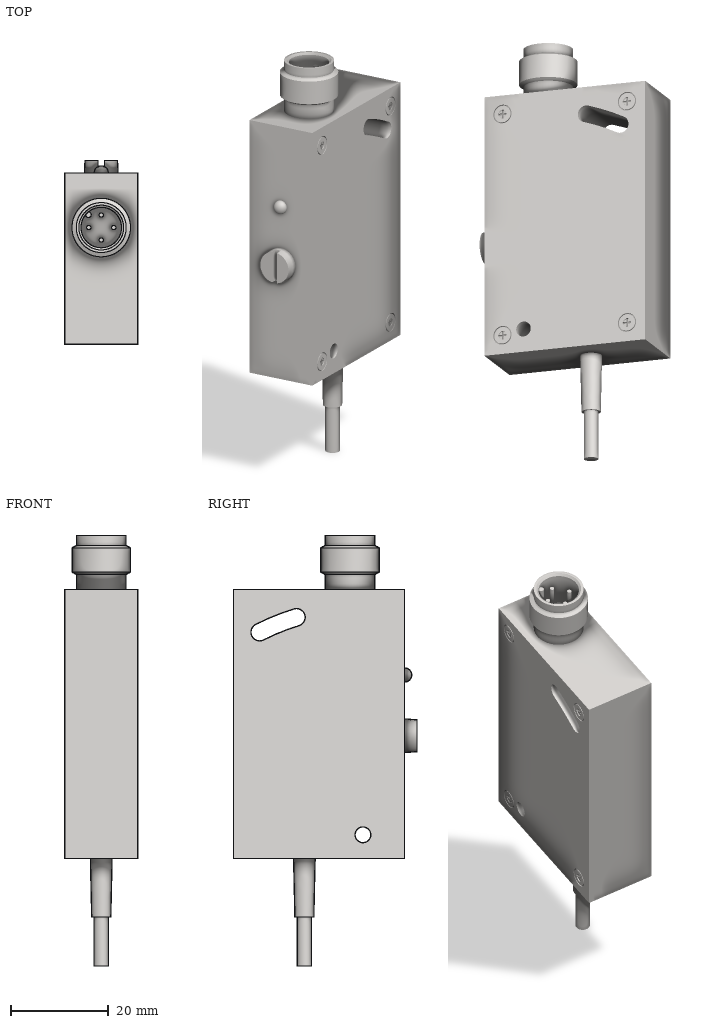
import cadquery as cq
import math

WIDTH = 15.0
DEPTH = 35.0
HEIGHT = 55.0
LEFT_FACE = -WIDTH / 2

PLUG_Y = 23.85
PLUG_HEIGHT = 11.0
SHELL_DIAMETER = 10.2
BORE_DIAMETER = 8.3
BORE_DEPTH = 8.0
BORE_CHAMFER = 0.4
NUT_DIAMETER = 12.0
NUT_BOTTOM = 3.0
NUT_HEIGHT = 6.0
NUT_CONE_HEIGHT = 0.5
PIN_DIAMETER = 0.9
PIN_CIRCLE_RADIUS = 2.55
PIN_COUNT = 4
PIN_TOP_BELOW_RIM = 2.0
KEY_DIAMETER = 1.1
KEY_RADIUS = 3.7
KEY_ANGLE = 135
KEY_TOP_BELOW_RIM = 1.0

CABLE_Y = 14.5
CABLE_DIAMETER = 3.0
CABLE_REACH = 22.0
SLEEVE_LENGTH = 12.0
SLEEVE_ROOT_DIAMETER = 4.5
SLEEVE_TIP_DIAMETER = 4.0

KNOB_Z = 25.1
KNOB_ROOT_DIAMETER = 6.95
KNOB_TIP_DIAMETER = 6.7
KNOB_REACH = 2.55
KNOB_SLOT_WIDTH = 1.2
KNOB_SLOT_DEPTH = 1.4
LAMP_Z = 37.5
LAMP_DIAMETER = 2.9

PIVOT_Y = 26.5
PIVOT_Z = 4.8
PIVOT_DIAMETER = 3.2
ARC_RADIUS = 46.5
ARC_SLOT_WIDTH = 3.5
ARC_START = 17.0
ARC_END = 27.0

SCREW_INSET = 4.0
SCREW_HEAD_DIAMETER = 3.5
SCREW_SEAT_DIAMETER = 4.0
SCREW_GAP_DEPTH = 0.35
CROSS_LENGTH = 1.85
CROSS_WIDTH = 0.35
CROSS_DEPTH = 0.5
DIMPLE_DIAMETER = 1.7
DIMPLE_DEPTH = 0.2


def upright(diameter, x, y, bottom, top):
    """Cylinder along Z."""
    return cq.Workplane("XY", origin=(x, y, bottom)).circle(diameter / 2).extrude(top - bottom)


def tapered(bottom_diameter, top_diameter, y, bottom, top):
    """Cone frustum along Z, centred on X."""
    base = cq.Workplane("XY", origin=(0, y, bottom)).circle(bottom_diameter / 2)
    return base.workplane(offset=top - bottom).circle(top_diameter / 2).loft()


def plug():
    """Plug: shell, coupling nut, bore, contact pins and key rib."""
    rim = HEIGHT + PLUG_HEIGHT
    floor = rim - BORE_DEPTH
    nut_bottom = HEIGHT + NUT_BOTTOM
    nut_top = nut_bottom + NUT_HEIGHT
    lower_cone = tapered(SHELL_DIAMETER, NUT_DIAMETER, PLUG_Y, nut_bottom, nut_bottom + NUT_CONE_HEIGHT)
    barrel = upright(NUT_DIAMETER, 0, PLUG_Y, nut_bottom + NUT_CONE_HEIGHT, nut_top - NUT_CONE_HEIGHT)
    upper_cone = tapered(NUT_DIAMETER, SHELL_DIAMETER, PLUG_Y, nut_top - NUT_CONE_HEIGHT, nut_top)
    shell = upright(SHELL_DIAMETER, 0, PLUG_Y, HEIGHT, rim)
    body = shell.union(lower_cone).union(barrel).union(upper_cone)
    mouth_diameter = BORE_DIAMETER + 2 * BORE_CHAMFER
    body = body.cut(upright(BORE_DIAMETER, 0, PLUG_Y, floor, rim))
    body = body.cut(tapered(BORE_DIAMETER, mouth_diameter, PLUG_Y, rim - BORE_CHAMFER, rim))
    for index in range(PIN_COUNT):
        angle = 2 * math.pi * index / PIN_COUNT
        x = PIN_CIRCLE_RADIUS * math.cos(angle)
        y = PLUG_Y + PIN_CIRCLE_RADIUS * math.sin(angle)
        body = body.union(upright(PIN_DIAMETER, x, y, floor, rim - PIN_TOP_BELOW_RIM))
    key_x = KEY_RADIUS * math.cos(math.radians(KEY_ANGLE))
    key_y = PLUG_Y + KEY_RADIUS * math.sin(math.radians(KEY_ANGLE))
    return body.union(upright(KEY_DIAMETER, key_x, key_y, floor, rim - KEY_TOP_BELOW_RIM))


def cable():
    """Cable end hanging from a tapered sleeve."""
    sleeve = tapered(SLEEVE_TIP_DIAMETER, SLEEVE_ROOT_DIAMETER, CABLE_Y, -SLEEVE_LENGTH, 0)
    return sleeve.union(upright(CABLE_DIAMETER, 0, CABLE_Y, -CABLE_REACH, 0))


def knob():
    """Slightly tapered adjuster knob with an upright screwdriver slot."""
    root = cq.Workplane("XZ", origin=(0, DEPTH, KNOB_Z)).circle(KNOB_ROOT_DIAMETER / 2)
    body = root.workplane(offset=-KNOB_REACH).circle(KNOB_TIP_DIAMETER / 2).loft()
    slot = cq.Workplane("XY").box(KNOB_SLOT_WIDTH, KNOB_SLOT_DEPTH, KNOB_ROOT_DIAMETER)
    return body.cut(slot.translate((0, DEPTH + KNOB_REACH - KNOB_SLOT_DEPTH / 2, KNOB_Z)))


def lamp():
    """Domed lamp, half sunk in the back face."""
    return cq.Workplane("XY").sphere(LAMP_DIAMETER / 2).translate((0, DEPTH, LAMP_Z))


def on_arc(radius, angle):
    """Point (Y, Z) at a radius from the pivot hole, angle measured from +Z towards -Y."""
    turn = math.radians(angle)
    return (PIVOT_Y - radius * math.sin(turn), PIVOT_Z + radius * math.cos(turn))


def arc_slot():
    """Through slot along an arc about the pivot hole, with round ends."""
    inner = ARC_RADIUS - ARC_SLOT_WIDTH / 2
    outer = ARC_RADIUS + ARC_SLOT_WIDTH / 2
    middle = (ARC_START + ARC_END) / 2
    end_swing = math.degrees(ARC_SLOT_WIDTH / 2 / ARC_RADIUS)
    return (
        cq.Workplane("YZ", origin=(LEFT_FACE, 0, 0))
        .moveTo(*on_arc(outer, ARC_START))
        .threePointArc(on_arc(outer, middle), on_arc(outer, ARC_END))
        .threePointArc(on_arc(ARC_RADIUS, ARC_END + end_swing), on_arc(inner, ARC_END))
        .threePointArc(on_arc(inner, middle), on_arc(inner, ARC_START))
        .threePointArc(on_arc(ARC_RADIUS, ARC_START - end_swing), on_arc(outer, ARC_START))
        .close()
        .extrude(WIDTH)
    )


def pivot_hole():
    """Through hole along X."""
    plane = cq.Workplane("YZ", origin=(LEFT_FACE, PIVOT_Y, PIVOT_Z))
    return plane.circle(PIVOT_DIAMETER / 2).extrude(WIDTH)


def screw_recess(y, z):
    """Ring gap around a flush screw head, plus its dimple and cross recess."""
    face = cq.Workplane("YZ", origin=(LEFT_FACE, y, z))
    gap = face.circle(SCREW_SEAT_DIAMETER / 2).circle(SCREW_HEAD_DIAMETER / 2).extrude(SCREW_GAP_DEPTH)
    bar = face.rect(CROSS_LENGTH, CROSS_WIDTH).extrude(CROSS_DEPTH)
    crossbar = face.rect(CROSS_WIDTH, CROSS_LENGTH).extrude(CROSS_DEPTH)
    dimple = face.circle(DIMPLE_DIAMETER / 2).extrude(DIMPLE_DEPTH)
    return gap.union(dimple.union(bar).union(crossbar))


housing = cq.Workplane("XY").box(WIDTH, DEPTH, HEIGHT, centered=(True, False, False))
result = housing.union(plug()).union(cable()).union(knob()).union(lamp())
result = result.cut(pivot_hole()).cut(arc_slot())
for screw_y in (SCREW_INSET, DEPTH - SCREW_INSET):
    for screw_z in (SCREW_INSET, HEIGHT - SCREW_INSET):
        result = result.cut(screw_recess(screw_y, screw_z))